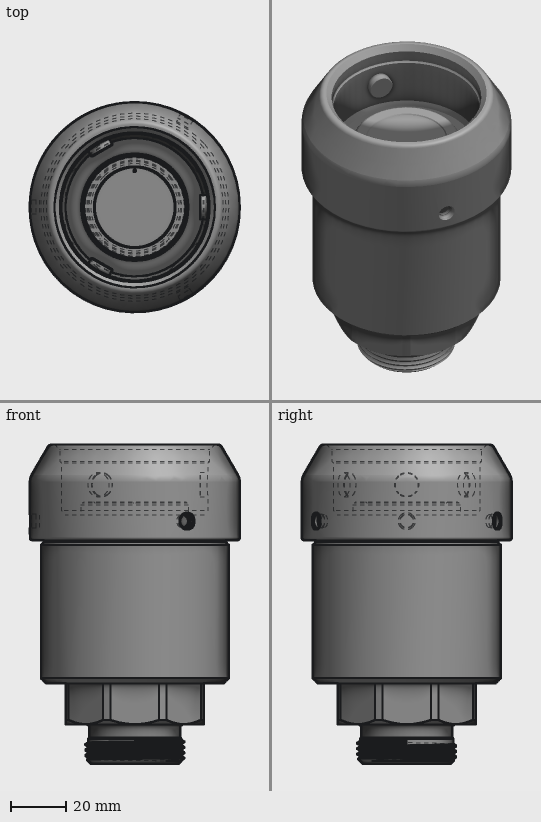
import cadquery as cq
import math

TOTAL_HEIGHT = 115.5
THREAD_TOP = 9.5
OCTAGON_BOTTOM = 14.2
BODY_BOTTOM = 29.1
BODY_TOP = 80.2
HEAD_BOTTOM = 80.8

HEAD_DIAMETER = 76.0
HEAD_TOP_DIAMETER = 61.9
CROWN_SLOPE = math.radians(30)
CROWN_FILLET = 5.0
RIM_FILLET = 2.0
HEAD_BOTTOM_FILLET = 1.0
GROOVE_DIAMETER = 66.0
BODY_DIAMETER = 68.0
BODY_TOP_CHAMFER = 1.0
BODY_BOTTOM_CHAMFER = 2.0

OCTAGON_SIDES = 8
OCTAGON_WIDTH = 50.0
OCTAGON_CORNER_DIAMETER = 53.0
OCTAGON_CHAMFER_START = 49.7

NECK_DIAMETER = 33.0
NECK_FILLET = 0.9
THREAD_ROOT_DIAMETER = 33.8
THREAD_DIAMETER = 35.8
THREAD_PITCH = 2.0
THREAD_START = 0.1
THREAD_TURNS = 4
THREAD_BASE_WIDTH = 1.7
THREAD_CREST_WIDTH = 0.2
THREAD_EMBED = 0.2
TIP_DIAMETER = 31.6
ENVELOPE_MARGIN = 1.2

ENTRY_DIAMETER = 58.0
LIP_DIAMETER = 54.2
LIP_BOTTOM_DEPTH = 6.1
SOCKET_DIAMETER = 53.0
FLOOR_DIAMETER = 50.0
FLOOR_DEPTH = 25.4

DISC_DIAMETER = 38.8
DISC_MIDDLE_DIAMETER = 37.8
DISC_TOP_DIAMETER = 36.6
DISC_DEPTH = 20.8
RECESS_DIAMETER = 29.6
RECESS_DEPTH = 0.3
DOT_DIAMETER = 0.8
DOT_RADIUS = 13.2
DOT_DEPTH = 1.0

PIN_DIAMETER = 8.8
PIN_CHAMFER = 0.2
PIN_TIP_RADIUS = 23.6
PIN_ROOT_RADIUS = 27.7
PIN_HEIGHT = 101.0
PIN_ANGLES = (0, 120, 240)

SCREW_MOUTH_DIAMETER = 6.1
SCREW_MOUTH_DEPTH = 0.2
SCREW_BORE_DIAMETER = 5.1
SCREW_BORE_DEPTH = 2.3
SCREW_END_DIAMETER = 4.7
SCREW_END_DEPTH = 3.6
SCREW_HEIGHT = 87.8
SCREW_ANGLES = (60, 180, 300)


def revolve_profile(points):
    """Turn a closed (radius, height) outline about Z."""
    return cq.Workplane("XZ").polyline(points).close().revolve(360, (0, 0), (0, 1))


def make_head():
    radius = HEAD_DIAMETER / 2
    top_radius = HEAD_TOP_DIAMETER / 2
    shoulder = TOTAL_HEIGHT - (radius - top_radius) / math.tan(CROWN_SLOPE)
    head = revolve_profile([
        (0, HEAD_BOTTOM),
        (radius, HEAD_BOTTOM),
        (radius, shoulder),
        (top_radius, TOTAL_HEIGHT),
        (0, TOTAL_HEIGHT),
    ])
    head = head.edges("%CIRCLE").edges(">>Z[-2]").fillet(CROWN_FILLET)
    head = head.faces("<Z").edges().fillet(HEAD_BOTTOM_FILLET)
    head = head.faces(">Z").edges().fillet(RIM_FILLET)
    return head


def make_body():
    body = cq.Workplane("XY", origin=(0, 0, BODY_BOTTOM)).circle(BODY_DIAMETER / 2)
    body = body.extrude(BODY_TOP - BODY_BOTTOM)
    body = body.faces(">Z").edges().chamfer(BODY_TOP_CHAMFER)
    body = body.faces("<Z").edges().chamfer(BODY_BOTTOM_CHAMFER)
    groove = cq.Workplane("XY", origin=(0, 0, BODY_TOP)).circle(GROOVE_DIAMETER / 2)
    return body.union(groove.extrude(HEAD_BOTTOM - BODY_TOP))


def make_octagon():
    height = BODY_BOTTOM - OCTAGON_BOTTOM
    corner_radius = OCTAGON_CORNER_DIAMETER / 2
    chamfer = corner_radius - OCTAGON_CHAMFER_START / 2
    octagon = (
        cq.Workplane("XY", origin=(0, 0, OCTAGON_BOTTOM))
        .polygon(OCTAGON_SIDES, OCTAGON_WIDTH, circumscribed=True)
        .extrude(height)
    )
    turned = cq.Workplane("XY", origin=(0, 0, OCTAGON_BOTTOM)).circle(corner_radius).extrude(height)
    return octagon.intersect(turned.faces("<Z").edges().chamfer(chamfer))


def make_spigot():
    neck_radius = NECK_DIAMETER / 2
    flare_radius = neck_radius + NECK_FILLET
    neck = (
        cq.Workplane("XZ")
        .lineTo(neck_radius, 0)
        .lineTo(neck_radius, OCTAGON_BOTTOM - NECK_FILLET)
        .radiusArc((flare_radius, OCTAGON_BOTTOM), NECK_FILLET)
        .lineTo(0, OCTAGON_BOTTOM)
        .close()
        .revolve(360, (0, 0), (0, 1))
    )
    core = cq.Workplane("XY").circle(THREAD_ROOT_DIAMETER / 2).extrude(THREAD_TOP)
    core = core.faces(">Z").edges().chamfer((THREAD_ROOT_DIAMETER - NECK_DIAMETER) / 2)

    root = THREAD_ROOT_DIAMETER / 2 - THREAD_EMBED
    crest = THREAD_DIAMETER / 2
    half_base = THREAD_BASE_WIDTH / 2
    half_crest = THREAD_CREST_WIDTH / 2
    path = cq.Wire.makeHelix(THREAD_PITCH, THREAD_PITCH * THREAD_TURNS, root).translate(
        cq.Vector(0, 0, THREAD_START)
    )
    ridge = (
        cq.Workplane("XZ")
        .polyline([
            (root, THREAD_START - half_base),
            (crest, THREAD_START - half_crest),
            (crest, THREAD_START + half_crest),
            (root, THREAD_START + half_base),
        ])
        .close()
        .sweep(cq.Workplane(path), isFrenet=True)
    )
    tip_radius = TIP_DIAMETER / 2
    outer = max(crest, flare_radius) + ENVELOPE_MARGIN
    envelope = revolve_profile([
        (0, 0),
        (tip_radius, 0),
        (outer, outer - tip_radius),
        (outer, OCTAGON_BOTTOM),
        (0, OCTAGON_BOTTOM),
    ])
    return neck.union(core).union(ridge).intersect(envelope)


def make_socket():
    """Hollow of the head, leaving the raised disc standing on its floor."""
    def at_depth(depth):
        return TOTAL_HEIGHT - depth

    entry, lip, wall = ENTRY_DIAMETER / 2, LIP_DIAMETER / 2, SOCKET_DIAMETER / 2
    floor = FLOOR_DIAMETER / 2
    disc, middle, top = DISC_DIAMETER / 2, DISC_MIDDLE_DIAMETER / 2, DISC_TOP_DIAMETER / 2
    recess = RECESS_DIAMETER / 2
    return revolve_profile([
        (0, at_depth(0)),
        (entry, at_depth(0)),
        (lip, at_depth(entry - lip)),
        (lip, at_depth(LIP_BOTTOM_DEPTH)),
        (wall, at_depth(LIP_BOTTOM_DEPTH + lip - wall)),
        (wall, at_depth(FLOOR_DEPTH - (wall - floor))),
        (floor, at_depth(FLOOR_DEPTH)),
        (disc, at_depth(FLOOR_DEPTH)),
        (disc, at_depth(DISC_DEPTH + disc - top)),
        (middle, at_depth(DISC_DEPTH + (middle - top) / 2)),
        (top, at_depth(DISC_DEPTH)),
        (recess, at_depth(DISC_DEPTH)),
        (recess - RECESS_DEPTH, at_depth(DISC_DEPTH + RECESS_DEPTH)),
        (0, at_depth(DISC_DEPTH + RECESS_DEPTH)),
    ])


def make_pin():
    """Chamfered disc along +X, bedded in the socket wall."""
    pin = cq.Workplane("YZ", origin=(PIN_TIP_RADIUS, 0, PIN_HEIGHT)).circle(PIN_DIAMETER / 2)
    pin = pin.extrude(PIN_ROOT_RADIUS - PIN_TIP_RADIUS)
    return pin.edges().chamfer(PIN_CHAMFER)


def make_screw_hole():
    """Blind hole along +X with a countersunk mouth and a slightly narrower far end."""
    surface = HEAD_DIAMETER / 2
    mouth, bore, end = SCREW_MOUTH_DIAMETER / 2, SCREW_BORE_DIAMETER / 2, SCREW_END_DIAMETER / 2
    countersink = surface - SCREW_MOUTH_DEPTH
    outline = [
        (surface, 0),
        (surface, mouth),
        (countersink, mouth),
        (countersink - (mouth - bore), bore),
        (surface - SCREW_BORE_DEPTH, bore),
        (surface - SCREW_BORE_DEPTH, end),
        (surface - SCREW_END_DEPTH, end),
        (surface - SCREW_END_DEPTH, 0),
    ]
    hole = cq.Workplane("XZ", origin=(0, 0, SCREW_HEIGHT)).polyline(outline).close()
    return hole.revolve(360, (0, 0), (1, 0))


result = make_head().union(make_body()).union(make_octagon()).union(make_spigot())
result = result.cut(make_socket())

pin = make_pin()
for pin_angle in PIN_ANGLES:
    result = result.union(pin.rotate((0, 0, 0), (0, 0, 1), pin_angle))

screw_hole = make_screw_hole()
for screw_angle in SCREW_ANGLES:
    result = result.cut(screw_hole.rotate((0, 0, 0), (0, 0, 1), screw_angle))

dot = cq.Workplane("XY", origin=(0, DOT_RADIUS, TOTAL_HEIGHT - DISC_DEPTH)).circle(DOT_DIAMETER / 2)
result = result.cut(dot.extrude(-DOT_DEPTH))